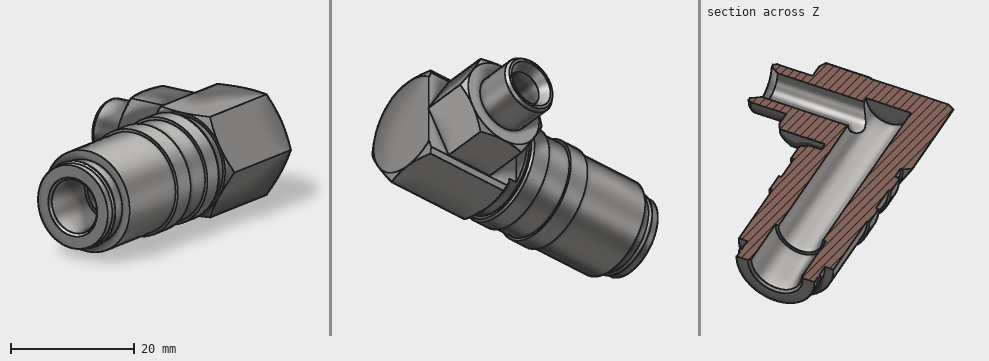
import cadquery as cq
import math

total_length = 47.15
cos_30 = math.cos(math.radians(30))
tan_30 = math.tan(math.radians(30))

nut_corner_radius = 8.65
nut_flat_radius = nut_corner_radius * cos_30
inlet_y = total_length - nut_corner_radius
nut_outer_x = -14.2
stub_radius = 5.0
stub_end_x = -21.15
stub_chamfer_length = 0.6
stub_chamfer_width = 0.42
inlet_bore_radius = 3.0
inlet_mouth_radius = 4.1
inlet_cone_depth = 1.6

block_corner_radius = 9.85
block_flat_radius = block_corner_radius * cos_30
block_length = 17.0
block_front_y = inlet_y - block_length / 2
block_back_y = inlet_y + block_length / 2
side_flat_x = -5.45

neck_radius = 8.1
neck_flat_front_y = 28.6
collar_radius = 9.0
collar_chamfer = 0.4
rear_collar_back_y = 28.05
rear_collar_front_y = 24.55
front_collar_back_y = 20.0
front_collar_front_y = 16.5
sleeve_radius = 8.55
sleeve_front_y = 3.95
tip_radius = 7.05
ring_y = 1.6
ring_section_radius = 0.4
ring_outer_radius = 7.3

outlet_bore_radius = 3.95
outlet_counterbore_radius = 4.55
outlet_counterbore_depth = 9.45
outlet_mouth_radius = 4.95
outlet_bore_end_y = inlet_y + outlet_bore_radius


def revolve_y(profile):
    """Turn a closed (radius, y) profile about the sleeve axis."""
    return cq.Workplane("XY").polyline(profile).close().revolve(360, (0, 0), (0, 1))


def revolve_inlet(profile):
    """Turn a closed (x, radius) profile about the inlet axis."""
    return (
        cq.Workplane("XY", origin=(0, inlet_y, 0))
        .polyline(profile).close()
        .revolve(360, (0, 0), (1, 0))
    )


def make_block():
    """Hexagonal prism with conically chamfered ends."""
    drop = (block_corner_radius - block_flat_radius) * tan_30
    prism = (
        cq.Workplane("XZ", origin=(0, block_front_y, 0))
        .polygon(6, 2 * block_corner_radius)
        .extrude(-block_length)
    )
    chamfer_envelope = revolve_y([
        (0, block_front_y),
        (block_flat_radius, block_front_y),
        (block_corner_radius, block_front_y + drop),
        (block_corner_radius, block_back_y - drop),
        (block_flat_radius, block_back_y),
        (0, block_back_y),
    ])
    return prism.intersect(chamfer_envelope)


def make_sleeve():
    """Neck, two collars, sleeve body and tip with its retaining ring."""
    body = revolve_y([
        (0, 0),
        (tip_radius, 0),
        (tip_radius, sleeve_front_y),
        (sleeve_radius, sleeve_front_y),
        (sleeve_radius, front_collar_front_y),
        (collar_radius, front_collar_front_y),
        (collar_radius, front_collar_back_y),
        (sleeve_radius, front_collar_back_y),
        (sleeve_radius, rear_collar_front_y),
        (collar_radius, rear_collar_front_y),
        (collar_radius, rear_collar_back_y - collar_chamfer),
        (collar_radius - collar_chamfer, rear_collar_back_y),
        (neck_radius, rear_collar_back_y),
        (neck_radius, block_front_y),
        (0, block_front_y),
    ])
    ring = (
        cq.Workplane("XY")
        .center(ring_outer_radius - ring_section_radius, ring_y)
        .circle(ring_section_radius)
        .revolve(360, (ring_section_radius - ring_outer_radius, 0),
                 (ring_section_radius - ring_outer_radius, 1))
    )
    return body.union(ring)


def cut_side_flat(body):
    """Trim the block and neck to the flat face that carries the nut."""
    trim_depth = block_corner_radius
    trim = cq.Workplane("XY").box(
        trim_depth, total_length - neck_flat_front_y, 2 * block_corner_radius,
        centered=(False, False, True),
    )
    return body.cut(trim.translate((side_flat_x - trim_depth, neck_flat_front_y, 0)))


def make_nut():
    """Hexagonal nut with corners along Y and a conical chamfer on its outer face."""
    drop = (nut_corner_radius - nut_flat_radius) * tan_30
    prism = (
        cq.Workplane("YZ", origin=(nut_outer_x, inlet_y, 0))
        .polygon(6, 2 * nut_corner_radius)
        .extrude(side_flat_x - nut_outer_x)
    )
    chamfer_envelope = revolve_inlet([
        (nut_outer_x, 0),
        (nut_outer_x, nut_flat_radius),
        (nut_outer_x + drop, nut_corner_radius),
        (side_flat_x, nut_corner_radius),
        (side_flat_x, 0),
    ])
    return prism.intersect(chamfer_envelope)


def make_stub():
    """Round inlet stub with a chamfered end."""
    return revolve_inlet([
        (stub_end_x, 0),
        (stub_end_x, stub_radius - stub_chamfer_width),
        (stub_end_x + stub_chamfer_length, stub_radius),
        (nut_outer_x, stub_radius),
        (nut_outer_x, 0),
    ])


def make_inlet_bore():
    """Conical mouth narrowing to the bore that meets the outlet bore."""
    return revolve_inlet([
        (stub_end_x, 0),
        (stub_end_x, inlet_mouth_radius),
        (stub_end_x + inlet_cone_depth, inlet_bore_radius),
        (0, inlet_bore_radius),
        (0, 0),
    ])


def make_outlet_bore():
    """Stepped blind bore with a chamfered mouth."""
    mouth_chamfer = outlet_mouth_radius - outlet_counterbore_radius
    return revolve_y([
        (0, 0),
        (outlet_mouth_radius, 0),
        (outlet_counterbore_radius, mouth_chamfer),
        (outlet_counterbore_radius, outlet_counterbore_depth),
        (outlet_bore_radius, outlet_counterbore_depth),
        (outlet_bore_radius, outlet_bore_end_y),
        (0, outlet_bore_end_y),
    ])


body = cut_side_flat(make_block().union(make_sleeve()))
body = body.union(make_nut()).union(make_stub())
result = body.cut(make_inlet_bore()).cut(make_outlet_bore())